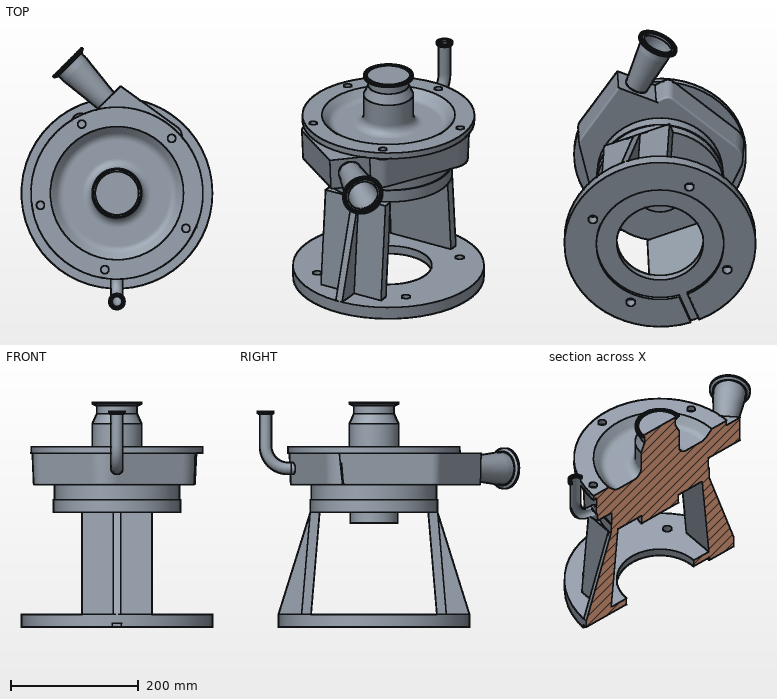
import cadquery as cq
import math

BASE_THICKNESS = 20
PEDESTAL_HEIGHT = 160
RING_HEIGHT = 20
HUB_HEIGHT = 23
CASING_HEIGHT = 50
COVER_THICKNESS = 10
INLET_HEIGHT = 70
PORT_AXIS_HEIGHT = 26
ring_bottom = BASE_THICKNESS + PEDESTAL_HEIGHT
hub_bottom = ring_bottom + RING_HEIGHT
casing_bottom = hub_bottom + HUB_HEIGHT
casing_top = casing_bottom + CASING_HEIGHT
cover_top = casing_top + COVER_THICKNESS
inlet_top = cover_top + INLET_HEIGHT
port_axis_z = casing_bottom + PORT_AXIS_HEIGHT

BASE_RADIUS = 150
BASE_BORE_RADIUS = 68
BASE_BOLT_RADIUS = 115
BASE_BOLT_DIAMETER = 14
BASE_BOLT_COUNT = 4
FIRST_BASE_BOLT_ANGLE = 45
RELIEF_RADIUS = 100
RELIEF_DEPTH = 6
NOTCH_WIDTH = 14

LEG_WIDTH = 110
LEG_THICKNESS = 15
LEG_TOP_INNER_Y = 85
LEG_BOTTOM_INNER_Y = 98.5
RIB_THICKNESS = 11.5

RING_RADIUS = 100
HUB_RADIUS = 98.5
STUB_RADIUS = 37.5
STUB_LENGTH = 17

SIDE_COUNT = 5
SIDE_STEP = 360 / SIDE_COUNT
FIRST_CORNER_ANGLE = 45
CASING_APOTHEM = 115
CASING_DRAFT = 2
CORNER_RADIUS = 34
BLOCK_SIDE_CORNER = 2
BLOCK_SIDE_CORNER_RADIUS = 14
BLOCK_CORNER_RADIUS = 18
BLOCK_INNER_OFFSET = 50
BLOCK_TRIM = 10
DISCHARGE_SIDE_ANGLE = 54
DISCHARGE_SIDE_DISTANCE = 139.4
CASING_BOTTOM_FILLET = 3

COVER_RADIUS = 135
COVER_BOLT_RADIUS = 121.5
COVER_BOLT_DIAMETER = 12.5
DISH_DEPTH = 15
DISH_TOP_RADIUS = 104.5
DISH_FILLET = 15
DISH_WALL_ANGLE = 45

INLET_RADIUS = 39
INLET_NECK_RADIUS = 31.75
INLET_FLANGE_RADIUS = 38.75
INLET_CONE_BOTTOM = 36
INLET_CONE_TOP = 52

OUTLET_ANGLE = 135
OUTLET_OFFSET = 90.5
OUTLET_FACE_DISTANCE = 200.4
OUTLET_BLOCK_DISTANCE = 114.8
OUTLET_FLANGE_RADIUS = 32
OUTLET_NECK_RADIUS = 25.4
OUTLET_NECK_LENGTH = 17.5
OUTLET_BORE_LENGTH = 13.5
OUTLET_ROOT_RADIUS = 18.2
OUTLET_ROOT_LENGTH = 2.5

ELBOW_AXIS_Y = -170
ELBOW_BEND_RADIUS = 35
ELBOW_TUBE_RADIUS = 9.5
ELBOW_FLANGE_RADIUS = 12.7
ELBOW_CLAMP_HEIGHT = 4.3
ELBOW_TOP_Z = 338.5
ELBOW_ROOT_Y = -100
ELBOW_BORE_END_Y = -130

TUBE_WALL = 1.65
CLAMP_RIM = 2.8
CLAMP_HEIGHT = 5.5
CLAMP_HUB_STEP = 1.5
CLAMP_GROOVE_HALF_WIDTH = 1.4
CLAMP_GROOVE_DEPTH = 1


def polar(radius, angle):
    return (radius * math.cos(math.radians(angle)), radius * math.sin(math.radians(angle)))


def cylinder(radius, bottom, height):
    return cq.Workplane("XY", origin=(0, 0, bottom)).circle(radius).extrude(height)


def make_base():
    hole_angles = [FIRST_BASE_BOLT_ANGLE + i * 360 / BASE_BOLT_COUNT for i in range(BASE_BOLT_COUNT)]
    base = cylinder(BASE_RADIUS, 0, BASE_THICKNESS).cut(cylinder(BASE_BORE_RADIUS, 0, BASE_THICKNESS))
    holes = (
        cq.Workplane("XY")
        .pushPoints([polar(BASE_BOLT_RADIUS, a) for a in hole_angles])
        .circle(BASE_BOLT_DIAMETER / 2)
        .extrude(BASE_THICKNESS)
    )
    relief = cylinder(RELIEF_RADIUS, 0, RELIEF_DEPTH)
    notch = (
        cq.Workplane("XY")
        .center(0, -BASE_RADIUS / 2)
        .rect(NOTCH_WIDTH, BASE_RADIUS)
        .extrude(RELIEF_DEPTH)
    )
    return base.cut(holes).cut(relief).cut(notch)


def make_leg():
    plate = (
        cq.Workplane("YZ")
        .moveTo(LEG_BOTTOM_INNER_Y, BASE_THICKNESS)
        .lineTo(LEG_BOTTOM_INNER_Y + LEG_THICKNESS, BASE_THICKNESS)
        .lineTo(LEG_TOP_INNER_Y + LEG_THICKNESS, ring_bottom)
        .lineTo(LEG_TOP_INNER_Y, ring_bottom)
        .close()
        .extrude(LEG_WIDTH / 2, both=True)
    )
    rib = (
        cq.Workplane("YZ")
        .moveTo(LEG_BOTTOM_INNER_Y, BASE_THICKNESS)
        .lineTo(BASE_RADIUS, BASE_THICKNESS)
        .lineTo(RING_RADIUS, ring_bottom)
        .lineTo(LEG_TOP_INNER_Y, ring_bottom)
        .close()
        .extrude(RIB_THICKNESS / 2, both=True)
    )
    return plate.union(rib).intersect(cylinder(BASE_RADIUS, 0, ring_bottom))


def side_crossing(first, second):
    """Point where two outline sides, each (normal angle, distance from axis), meet."""
    (angle_a, dist_a), (angle_b, dist_b) = first, second
    turn = math.radians(angle_b - angle_a)
    along = (dist_b - dist_a * math.cos(turn)) / math.sin(turn)
    foot = polar(dist_a, angle_a)
    shift = polar(along, angle_a + 90)
    return (foot[0] + shift[0], foot[1] + shift[1])


def drafted_body(sides, corner_radii):
    """Prism narrowing downwards; corner i joins side i to the side before it."""
    corners = [side_crossing(sides[i - 1], sides[i]) for i in range(len(sides))]
    body = (
        cq.Workplane("XY", origin=(0, 0, casing_top))
        .polyline(corners)
        .close()
        .extrude(-CASING_HEIGHT, taper=CASING_DRAFT)
    )
    for index, radius in corner_radii.items():
        x, y = corners[index]
        nearest = cq.selectors.NearestToPointSelector((x, y, casing_bottom + CASING_HEIGHT / 2))
        body = body.edges("not #Z").edges(nearest).fillet(radius)
    return body.faces("<Z").edges().fillet(CASING_BOTTOM_FILLET)


def make_discharge_block(first_side):
    """Wedge tangent to the volute, cut off square to the discharge axis."""
    sides = [
        first_side,
        (DISCHARGE_SIDE_ANGLE, DISCHARGE_SIDE_DISTANCE),
        (OUTLET_ANGLE, OUTLET_BLOCK_DISTANCE + BLOCK_TRIM),
        (OUTLET_ANGLE + 90, -BLOCK_INNER_OFFSET),
    ]
    block = drafted_body(sides, {1: BLOCK_CORNER_RADIUS})
    trim = (
        cq.Workplane("XY")
        .box(BASE_RADIUS, 2 * BASE_RADIUS, CASING_HEIGHT, centered=(False, True, False))
        .translate((OUTLET_BLOCK_DISTANCE, 0, casing_bottom))
        .rotate((0, 0, 0), (0, 0, 1), OUTLET_ANGLE)
    )
    return block.cut(trim)


def make_casing():
    first_angle = FIRST_CORNER_ANGLE - SIDE_STEP / 2
    sides = [(first_angle + i * SIDE_STEP, CASING_APOTHEM) for i in range(SIDE_COUNT)]
    corner_radii = {i: CORNER_RADIUS for i in range(SIDE_COUNT)}
    corner_radii[BLOCK_SIDE_CORNER] = BLOCK_SIDE_CORNER_RADIUS
    return drafted_body(sides, corner_radii).union(make_discharge_block(sides[0]))


def make_cover():
    hole_angles = [FIRST_CORNER_ANGLE + i * SIDE_STEP for i in range(SIDE_COUNT)]
    disc = cylinder(COVER_RADIUS, casing_top, COVER_THICKNESS)
    holes = (
        cq.Workplane("XY", origin=(0, 0, casing_top))
        .pushPoints([polar(COVER_BOLT_RADIUS, a) for a in hole_angles])
        .circle(COVER_BOLT_DIAMETER / 2)
        .extrude(COVER_THICKNESS)
    )
    return disc.cut(holes)


def make_dish():
    """Ring-shaped recess around the inlet: fillet, flat floor, fillet, conical wall."""
    floor = cover_top - DISH_DEPTH
    half = math.radians(DISH_WALL_ANGLE / 2)
    floor_radius = DISH_TOP_RADIUS - DISH_DEPTH / math.tan(2 * half) - DISH_FILLET * math.tan(half)
    arc_mid = (
        floor_radius + DISH_FILLET * math.sin(half),
        floor + DISH_FILLET * (1 - math.cos(half)),
    )
    arc_end = (
        floor_radius + DISH_FILLET * math.sin(2 * half),
        floor + DISH_FILLET * (1 - math.cos(2 * half)),
    )
    diagonal = DISH_FILLET * (1 - math.sin(math.pi / 4))
    inner_mid = (INLET_RADIUS + diagonal, floor + diagonal)
    return (
        cq.Workplane("XZ")
        .moveTo(INLET_RADIUS, cover_top)
        .threePointArc(inner_mid, (INLET_RADIUS + DISH_FILLET, floor))
        .lineTo(floor_radius, floor)
        .threePointArc(arc_mid, arc_end)
        .lineTo(DISH_TOP_RADIUS, cover_top)
        .close()
        .revolve(360, (0, 0, 0), (0, 1, 0))
    )


def make_clamp(radius, tube_radius, height=CLAMP_HEIGHT):
    """Clamp flange with its grooved sealing face at z = 0, hanging downwards."""
    flange = (
        cq.Workplane("XZ")
        .moveTo(0, 0)
        .lineTo(radius, 0)
        .lineTo(radius, -CLAMP_RIM)
        .lineTo(tube_radius + CLAMP_HUB_STEP, -height)
        .lineTo(0, -height)
        .close()
        .revolve(360, (0, 0, 0), (0, 1, 0))
    )
    groove_radius = (radius + tube_radius) / 2
    groove = (
        cq.Workplane("XY")
        .circle(groove_radius + CLAMP_GROOVE_HALF_WIDTH)
        .circle(groove_radius - CLAMP_GROOVE_HALF_WIDTH)
        .extrude(-CLAMP_GROOVE_DEPTH)
    )
    return flange.cut(groove)


def make_inlet():
    pipe = (
        cq.Workplane("XZ", origin=(0, 0, cover_top))
        .moveTo(0, -DISH_DEPTH)
        .lineTo(INLET_RADIUS, -DISH_DEPTH)
        .lineTo(INLET_RADIUS, INLET_CONE_BOTTOM)
        .lineTo(INLET_NECK_RADIUS, INLET_CONE_TOP)
        .lineTo(INLET_NECK_RADIUS, INLET_HEIGHT - CLAMP_RIM)
        .lineTo(0, INLET_HEIGHT - CLAMP_RIM)
        .close()
        .revolve(360, (0, 0, 0), (0, 1, 0))
    )
    clamp = make_clamp(INLET_FLANGE_RADIUS, INLET_NECK_RADIUS)
    return pipe.union(clamp.translate((0, 0, inlet_top)))


def place_outlet(solid):
    """Turn a solid whose axis is Z, with its mouth at z = 0, onto the discharge axis."""
    mouth = polar(OUTLET_FACE_DISTANCE, OUTLET_ANGLE)
    offset = polar(OUTLET_OFFSET, OUTLET_ANGLE - 90)
    return (
        solid.rotate((0, 0, 0), (0, 1, 0), 90)
        .rotate((0, 0, 0), (0, 0, 1), OUTLET_ANGLE)
        .translate((mouth[0] + offset[0], mouth[1] + offset[1], port_axis_z))
    )


def reducer(inset, neck_length, depth):
    """Neck, cone and root on one axis, shrunk radially by inset; the mouth is at z = 0."""
    root_start = OUTLET_FACE_DISTANCE - OUTLET_BLOCK_DISTANCE - OUTLET_ROOT_LENGTH
    return (
        cq.Workplane("XZ")
        .lineTo(OUTLET_NECK_RADIUS - inset, 0)
        .lineTo(OUTLET_NECK_RADIUS - inset, -neck_length)
        .lineTo(OUTLET_ROOT_RADIUS - inset, -root_start)
        .lineTo(OUTLET_ROOT_RADIUS - inset, -depth)
        .lineTo(0, -depth)
        .close()
        .revolve(360, (0, 0, 0), (0, 1, 0))
    )


def make_outlet():
    length = OUTLET_FACE_DISTANCE - OUTLET_BLOCK_DISTANCE
    clamp = make_clamp(OUTLET_FLANGE_RADIUS, OUTLET_NECK_RADIUS)
    body = reducer(0, OUTLET_NECK_LENGTH, length).union(clamp)
    return place_outlet(body.cut(reducer(TUBE_WALL, OUTLET_BORE_LENGTH, length)))


def elbow_tube(radius, root_y):
    bend_start_y = ELBOW_AXIS_Y + ELBOW_BEND_RADIUS
    bend_top_z = port_axis_z + ELBOW_BEND_RADIUS
    reach = ELBOW_BEND_RADIUS * (1 - math.sin(math.radians(45)))
    path = (
        cq.Workplane("YZ")
        .moveTo(root_y, port_axis_z)
        .lineTo(bend_start_y, port_axis_z)
        .threePointArc((ELBOW_AXIS_Y + reach, port_axis_z + reach), (ELBOW_AXIS_Y, bend_top_z))
        .lineTo(ELBOW_AXIS_Y, ELBOW_TOP_Z)
    )
    return cq.Workplane("XZ", origin=(0, root_y, port_axis_z)).circle(radius).sweep(path)


def make_elbow():
    clamp = make_clamp(ELBOW_FLANGE_RADIUS, ELBOW_TUBE_RADIUS, ELBOW_CLAMP_HEIGHT)
    tube = elbow_tube(ELBOW_TUBE_RADIUS, ELBOW_ROOT_Y)
    body = tube.union(clamp.translate((0, ELBOW_AXIS_Y, ELBOW_TOP_Z)))
    return body.cut(elbow_tube(ELBOW_TUBE_RADIUS - TUBE_WALL, ELBOW_BORE_END_Y))


leg = make_leg()
result = (
    make_base()
    .union(leg)
    .union(leg.mirror("XZ"))
    .union(cylinder(RING_RADIUS, ring_bottom, RING_HEIGHT))
    .union(cylinder(STUB_RADIUS, ring_bottom - STUB_LENGTH, STUB_LENGTH))
    .union(cylinder(HUB_RADIUS, hub_bottom, HUB_HEIGHT))
    .union(make_casing())
    .union(make_cover())
    .cut(make_dish())
    .union(make_inlet())
    .union(make_outlet())
    .union(make_elbow())
)